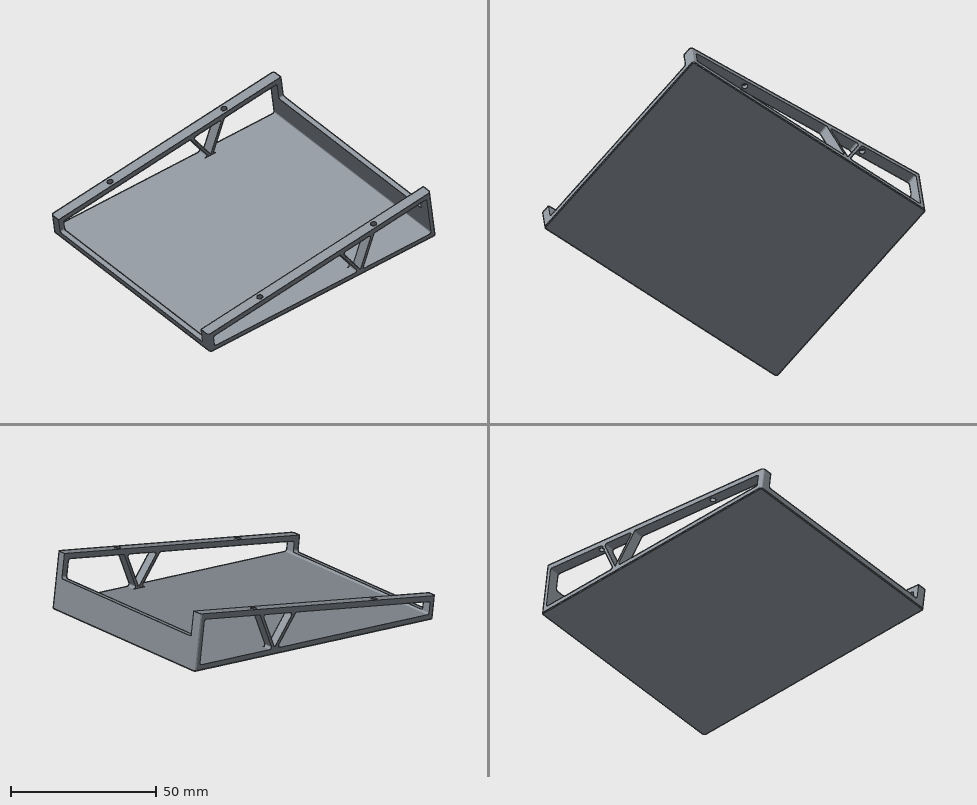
import cadquery as cq
import math

width = 85.2
length = 101.7
height = 20.5
tilt = 7

wall = 2
floor = 2
rail_width = 4.0
strut_thickness = 1

front_lip_height = 2.5
back_lip_height = 11.5

strut_foot_y = 17.2
strut_foot_height = 1.3
strut_head_ys = (23.0, 7.9)

hole_diameter = 2
hole_ys = (24.5, -26.2)

corner_radius = 1
window_radius = 0.8
lip_radius = 0.8
strut_notch_radius = 0.3
bottom_chamfer = 0.3

slope = math.tan(math.radians(tilt))
back_y = length / 2 + bottom_chamfer * slope
front_top_y = -length / 2
back_top_y = back_y - height * slope
front_height = height - (back_top_y - front_top_y) * slope
front_bottom_y = front_top_y + front_height * slope
slot_width = width - 2 * rail_width
wall_run = wall / math.cos(math.radians(tilt))


def rail_top(y):
    """Height of the sloping top face at a given Y."""
    return front_height + (y - front_top_y) * slope


def side_prism(points, x_width):
    """Extrude a (Y, Z) outline along X, centred on the YZ plane."""
    return cq.Workplane("YZ").polyline(points).close().extrude(x_width / 2, both=True)


def cavity(x_width):
    """Space inside the floor, the end walls and the rails."""
    rail_line_height = rail_top(0) - wall_run

    def under_rail(wall_foot_y):
        """Corner where an inner wall face meets the underside of the rails."""
        y = (wall_foot_y - rail_line_height * slope) / (1 + slope**2)
        return y, rail_top(y) - wall_run

    front_foot_y = front_bottom_y + wall_run
    back_foot_y = back_y - wall_run
    return side_prism(
        [
            (front_foot_y - floor * slope, floor),
            (back_foot_y - floor * slope, floor),
            under_rail(back_foot_y),
            under_rail(front_foot_y),
        ],
        x_width,
    )


def strut(head_y):
    """Slanted bar from the shared foot up into the rail."""
    rise = rail_top(head_y) - wall_run / 2 - strut_foot_height
    run = head_y - strut_foot_y
    bar_length = math.hypot(run, rise)
    lean = math.degrees(math.atan2(run, rise))
    bar = cq.Workplane("XY").box(width, strut_thickness, bar_length, centered=(True, True, False))
    return bar.rotate((0, 0, 0), (1, 0, 0), -lean).translate((0, strut_foot_y, strut_foot_height))


def lip_opening(wall_y, lip_height):
    """Opening between the rails above an end wall, parallel to the rails, with rounded lower corners."""
    opening = cq.Workplane("XY").box(slot_width, length, height, centered=(True, True, False))
    opening = opening.edges("|Y and <Z").fillet(lip_radius)
    return opening.rotate((0, 0, 0), (1, 0, 0), tilt).translate((0, wall_y, lip_height))


def screw_hole(x, y):
    """Hole square to the sloping rail."""
    drill = cq.Workplane("XY").circle(hole_diameter / 2).extrude(2 * wall, both=True)
    return drill.rotate((0, 0, 0), (1, 0, 0), tilt).translate((x, y, rail_top(y)))


wedge = side_prism(
    [
        (front_bottom_y, 0),
        (back_y, 0),
        (back_top_y, height),
        (front_top_y, front_height),
    ],
    width,
)
body = wedge.faces("<Y or >Y").edges("not |X").fillet(corner_radius)
body = body.faces("<Z").edges().chamfer(bottom_chamfer)

windows = cavity(width)
for head_y in strut_head_ys:
    windows = windows.cut(strut(head_y))
for window in windows.solids().vals():
    opening = cq.Workplane(window)
    corners = opening.edges("|X")
    is_triangle = corners.size() == 3
    if is_triangle:
        opening = corners.edges("not <Z").fillet(window_radius)
        opening = opening.edges("|X").edges("<Z").fillet(strut_notch_radius)
    else:
        opening = corners.fillet(window_radius)
    body = body.cut(opening)

body = body.cut(cavity(slot_width).edges("|X").fillet(window_radius))
front_lip_y = front_bottom_y - front_lip_height * slope + wall_run / 2
back_lip_y = back_y - back_lip_height * slope - wall_run / 2
body = body.cut(lip_opening(front_lip_y, front_lip_height))
body = body.cut(lip_opening(back_lip_y, back_lip_height))

for side in (-1, 1):
    for hole_y in hole_ys:
        body = body.cut(screw_hole(side * (width - rail_width) / 2, hole_y))

result = body